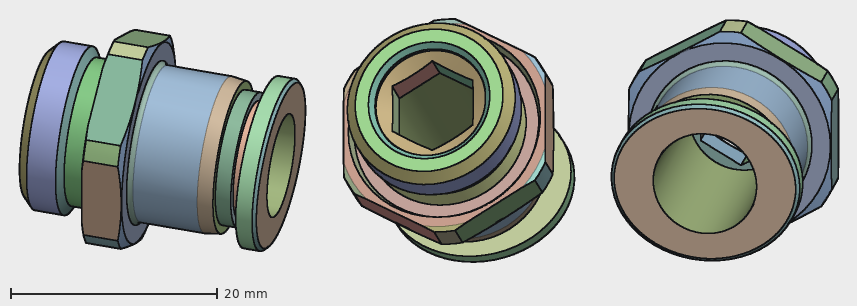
import cadquery as cq
import math


length = 24.3
lead_chamfer = 1.0
thread_end = 3.91
neck_start = 4.5
neck_end = 6.5
nut_start = 7.0
nut_end = 11.0
body_taper_start = 17.98
body_end = 19.54
shoulder_end = 21.1
flange_start = 22.3

thread_radius = 8.33
neck_radius = 7.35
body_radius = 7.75
body_tip_radius = 7.53
shoulder_radius = 6.68
sleeve_radius = 5.85
body_fillet_length = 0.5
body_fillet_height = 0.36

nut_across_flats = 20.0
nut_across_corners = 22.0
nut_front_bevel_radius = 10.47
nut_front_bevel_length = 0.17
nut_rear_bevel_radius = 9.95
nut_rear_bevel_length = 0.36

groove_depth = 1.05
groove_radius = 9.53
groove_wall_angle = 20.0

flange_height = 16.01
flange_width = 18.6
flange_chamfer = 0.35

mouth_radius = 6.03
entry_radius = 5.5
entry_depth = 1.0
drill_point_angle = 120.0
socket_across_flats = 8.0
socket_end = 4.93
tube_bore_radius = 5.1


def revolve_about_axis(points):
    """Turn a closed outline of (station, radius) points about the X axis."""
    return cq.Workplane("XY").polyline(points).close().revolve(360, (0, 0, 0), (1, 0, 0))


def cylinder(start, end, radius):
    return cq.Workplane("YZ", origin=(start, 0, 0)).circle(radius).extrude(end - start)


def hex_prism(start, end, across_flats):
    """Hexagonal bar along X with corners pointing to +Z and -Z."""
    corner_diameter = across_flats / math.cos(math.radians(30))
    bar = cq.Workplane("YZ", origin=(start, 0, 0)).polygon(6, corner_diameter).extrude(end - start)
    return bar.rotate((0, 0, 0), (1, 0, 0), 30)


def make_nut():
    corner_radius = nut_across_corners / 2
    bevelled_round = revolve_about_axis([
        (nut_start, 0),
        (nut_start, nut_front_bevel_radius),
        (nut_start + nut_front_bevel_length, corner_radius),
        (nut_end - nut_rear_bevel_length, corner_radius),
        (nut_end, nut_rear_bevel_radius),
        (nut_end, 0),
    ])
    nut = hex_prism(nut_start, nut_end, nut_across_flats).intersect(bevelled_round)
    wall_run = groove_depth * math.tan(math.radians(groove_wall_angle))
    groove = revolve_about_axis([
        (nut_start, 0),
        (nut_start, groove_radius),
        (nut_start + groove_depth, groove_radius - wall_run),
        (nut_start + groove_depth, 0),
    ])
    return nut.cut(groove)


def make_threaded_end():
    groove_floor = nut_start + groove_depth
    flare = (groove_floor - neck_end) * math.tan(math.radians(groove_wall_angle))
    return revolve_about_axis([
        (0, 0),
        (0, thread_radius - lead_chamfer),
        (lead_chamfer, thread_radius),
        (thread_end, thread_radius),
        (neck_start, neck_radius),
        (neck_end, neck_radius),
        (groove_floor, neck_radius + flare),
        (groove_floor, 0),
    ])


def make_body():
    outline = (
        cq.Workplane("XY")
        .moveTo(nut_end, 0)
        .lineTo(body_end, 0)
        .lineTo(body_end, body_tip_radius)
        .lineTo(body_taper_start, body_radius)
        .lineTo(nut_end + body_fillet_length, body_radius)
        .tangentArcPoint((nut_end, body_radius + body_fillet_height), relative=False)
        .close()
    )
    return outline.revolve(360, (0, 0, 0), (1, 0, 0))


def make_release_collar():
    shoulder = cylinder(body_end, shoulder_end, shoulder_radius)
    sleeve = cylinder(shoulder_end, flange_start, sleeve_radius)
    flange = (
        cq.Workplane("YZ", origin=(flange_start, 0, 0))
        .ellipse(flange_width / 2, flange_height / 2)
        .extrude(length - flange_start)
        .faces(">X")
        .chamfer(flange_chamfer)
    )
    return shoulder.union(sleeve).union(flange)


def make_bore():
    cone_tip = entry_depth + entry_radius / math.tan(math.radians(drill_point_angle / 2))
    entry = revolve_about_axis([
        (0, 0),
        (0, mouth_radius),
        (mouth_radius - entry_radius, entry_radius),
        (entry_depth, entry_radius),
        (cone_tip, 0),
    ])
    socket = hex_prism(entry_depth, socket_end, socket_across_flats)
    tube_bore = cylinder(socket_end, length, tube_bore_radius)
    return entry.union(socket).union(tube_bore)


result = (
    make_threaded_end()
    .union(make_nut())
    .union(make_body())
    .union(make_release_collar())
    .cut(make_bore())
)